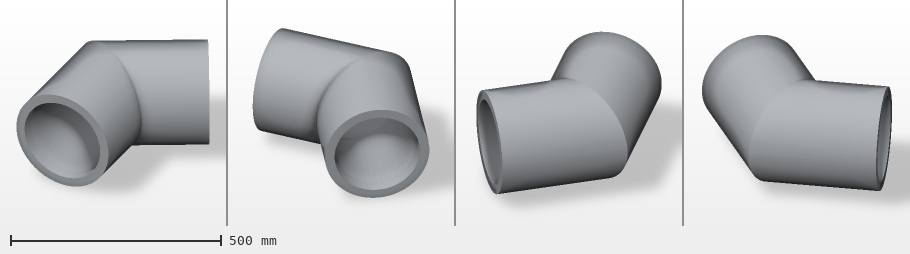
import cadquery as cq
import math

overall_length = 459.2
outer_diameter = 250.0
wall = 22.5
turn_degrees = 60

turn_angle = math.radians(turn_degrees)
outer_radius = outer_diameter / 2
inner_radius = outer_radius - wall

rim_rise = outer_radius * math.sin(turn_angle)
leg_length = (overall_length - rim_rise) / (1 + math.cos(turn_angle))

mitre_slope = math.tan(turn_angle / 2)
long_side = leg_length + outer_radius * mitre_slope
short_side = leg_length - outer_radius * mitre_slope


def mitred_leg():
    """Pipe along +Y from its open end at Y = 0, cut off at the mitre plane."""
    pipe = cq.Workplane("XZ").circle(outer_radius).circle(inner_radius).extrude(-long_side)
    kept_zone = (
        cq.Workplane("XY")
        .polyline([
            (-outer_radius, 0),
            (outer_radius, 0),
            (outer_radius, short_side),
            (-outer_radius, long_side),
        ])
        .close()
        .extrude(outer_radius, both=True)
    )
    return pipe.intersect(kept_zone)


first_leg = mitred_leg()
corner = (0, leg_length, 0)
above_corner = (0, leg_length, 1)
second_leg = (
    first_leg.mirror("XZ", corner)
    .rotate(corner, above_corner, -turn_degrees)
)

result = first_leg.union(second_leg)